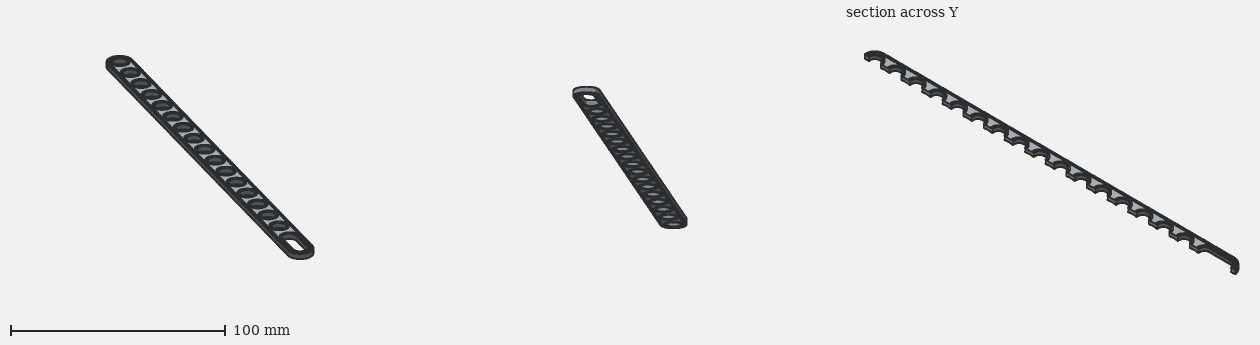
import cadquery as cq

length = 225.0
pitch_count = 18
thickness = 3.2
hole_diameter = 7.0
boss_diameter = 9.2
rim_width = 1.1
pocket_depth = 0.2
edge_chamfer = 0.32

pitch = length / pitch_count
width = pitch
round_hole_count = pitch_count - 2
first_centre = -(length - pitch) / 2
hole_centres = [(first_centre + i * pitch, 0) for i in range(round_hole_count)]
slot_centre = first_centre + (round_hole_count + 0.5) * pitch
half_thickness = thickness / 2
chamfer_angle = 45


def stadium(overall_length, overall_width, bottom, height):
    """Block with round ends, lying along X and centred on the bar."""
    return cq.Workplane("XY", origin=(0, 0, bottom)).slot2D(overall_length, overall_width).extrude(height)


def opening_pattern(diameter, bottom, height, taper=0):
    """Cylinders at the round holes and a round-ended block at the slot, all of one diameter."""
    plane = cq.Workplane("XY", origin=(0, 0, bottom))
    cylinders = plane.pushPoints(hole_centres).circle(diameter / 2).extrude(height, taper=taper)
    slot = plane.center(slot_centre, 0).slot2D(pitch + diameter, diameter).extrude(height, taper=taper)
    return cylinders.union(slot)


def pocket_cutter():
    """Shallow recess inside the outer rim of the top face, around the raised bosses."""
    floor = half_thickness - pocket_depth
    recess = stadium(length - 2 * rim_width, width - 2 * rim_width, floor, pocket_depth)
    return recess.cut(opening_pattern(boss_diameter, floor, pocket_depth))


def rim_chamfer_cutter():
    """Countersinks that break the top rims of the holes and the slot."""
    return opening_pattern(hole_diameter + 2 * edge_chamfer, half_thickness, -edge_chamfer, chamfer_angle)


def cut_both_faces(solid, cutter):
    """Cut the top-face cutter and its mirror image below."""
    return solid.cut(cutter).cut(cutter.mirror("XY"))


bar = stadium(length, width, -half_thickness, thickness)
bar = bar.faces("|Z").edges().chamfer(edge_chamfer)

bar = cut_both_faces(bar, pocket_cutter())
bar = bar.cut(opening_pattern(hole_diameter, -half_thickness, thickness))
result = cut_both_faces(bar, rim_chamfer_cutter())